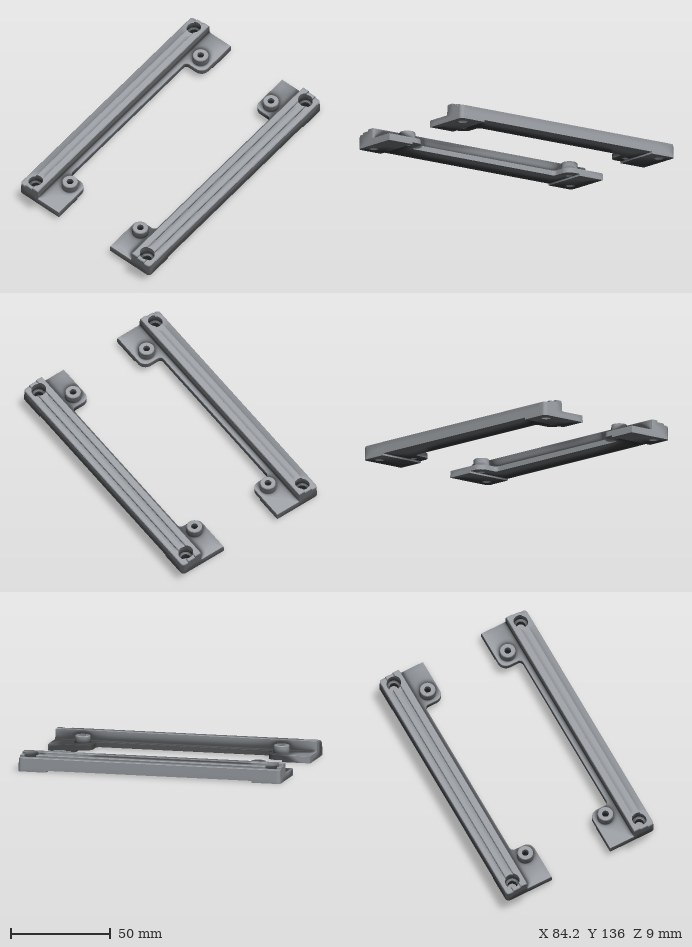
import cadquery as cq
import math

OVERALL_WIDTH = 84.2
LENGTH = 136.0
HEIGHT = 9.0
DRAFT_ANGLE = 2.5
EDGE_CHAMFER = 0.33
PLATE_CHAMFER = 0.1

FOOT_HEIGHT = 1.0
FOOT_LENGTH = 14.7
PLATE_TOP = 3.5
TAB_WIDTH = 25.5
TAB_LENGTH = 22.5
PLATE_WIDTH = 14.7
OUTER_CORNER_RADIUS = 1.9
TAB_CORNER_RADIUS = 4.4
TAB_ROOT_RADIUS = 1.9

RAIL_WIDTH = 12.0
RAIL_ROOT_RADIUS = 0.4
LOW_STEP_TOP = 7.1
MIDDLE_STEP_TOP = 8.0
MIDDLE_STEP_X = 3.8
HIGH_STEP_X = 8.0

SCREW_X = 6.0
SCREW_END_DISTANCE = 5.6
SCREW_HOLE_DIAMETER = 4.6
COUNTERBORE_DIAMETER = 7.3
COUNTERBORE_FLOOR = 3.5

BOSS_X = 19.3
BOSS_END_DISTANCE = 16.5
BOSS_TOP = 7.6
BOSS_BASE_RADIUS = 4.1
BOSS_ROOT_FILLET = 0.4
BOSS_HOLE_DIAMETER = 3.4

ENDS = (-1, 1)
HALF_LENGTH = LENGTH / 2
SCREW_Y = HALF_LENGTH - SCREW_END_DISTANCE
BOSS_Y = HALF_LENGTH - BOSS_END_DISTANCE
BOSS_HEIGHT = BOSS_TOP - PLATE_TOP
BOSS_TOP_RADIUS = BOSS_BASE_RADIUS - BOSS_HEIGHT * math.tan(math.radians(DRAFT_ANGLE))


def rounded_outline(workplane, width):
    """Rectangle inward from X = 0, with its two outer corners rounded."""
    radius = OUTER_CORNER_RADIUS
    return (
        workplane
        .moveTo(width, -HALF_LENGTH)
        .lineTo(width, HALF_LENGTH)
        .lineTo(radius, HALF_LENGTH)
        .radiusArc((0, HALF_LENGTH - radius), -radius)
        .lineTo(0, radius - HALF_LENGTH)
        .radiusArc((radius, -HALF_LENGTH), -radius)
        .close()
    )


def tabbed_outline(workplane):
    """C-shaped outline: a narrow plate with a wider tab at each end."""
    tab_edge_y = HALF_LENGTH - TAB_LENGTH
    corner_y = tab_edge_y + TAB_CORNER_RADIUS
    corner_x = TAB_WIDTH - TAB_CORNER_RADIUS
    root_y = tab_edge_y - TAB_ROOT_RADIUS
    root_x = PLATE_WIDTH + TAB_ROOT_RADIUS
    outer = OUTER_CORNER_RADIUS
    return (
        workplane
        .moveTo(outer, HALF_LENGTH)
        .lineTo(TAB_WIDTH, HALF_LENGTH)
        .lineTo(TAB_WIDTH, corner_y)
        .radiusArc((corner_x, tab_edge_y), TAB_CORNER_RADIUS)
        .lineTo(root_x, tab_edge_y)
        .radiusArc((PLATE_WIDTH, root_y), -TAB_ROOT_RADIUS)
        .lineTo(PLATE_WIDTH, -root_y)
        .radiusArc((root_x, -tab_edge_y), -TAB_ROOT_RADIUS)
        .lineTo(corner_x, -tab_edge_y)
        .radiusArc((TAB_WIDTH, -corner_y), TAB_CORNER_RADIUS)
        .lineTo(TAB_WIDTH, -HALF_LENGTH)
        .lineTo(outer, -HALF_LENGTH)
        .radiusArc((0, outer - HALF_LENGTH), outer)
        .lineTo(0, HALF_LENGTH - outer)
        .radiusArc((outer, HALF_LENGTH), outer)
        .close()
    )


def make_plate():
    """Tabbed plate with drafted sides and a broken top edge, from the foot top to the plate top."""
    base = cq.Workplane("XY", origin=(0, 0, FOOT_HEIGHT))
    plate = tabbed_outline(base).extrude(PLATE_TOP - FOOT_HEIGHT, taper=DRAFT_ANGLE)
    return plate.faces(">Z").edges().chamfer(PLATE_CHAMFER)


def make_feet():
    """Straight-sided foot under each end of the plate."""
    foot_gap = cq.Workplane("XY").box(2 * TAB_WIDTH, LENGTH - 2 * FOOT_LENGTH, 2 * FOOT_HEIGHT)
    return tabbed_outline(cq.Workplane("XY")).extrude(FOOT_HEIGHT).cut(foot_gap)


def make_rail():
    """Drafted bar whose top rises in two chamfered steps away from the outer side."""
    base = cq.Workplane("XY", origin=(0, 0, FOOT_HEIGHT))
    bar = rounded_outline(base, RAIL_WIDTH).extrude(HEIGHT - FOOT_HEIGHT, taper=DRAFT_ANGLE)
    above_steps = (
        cq.Workplane("XZ")
        .moveTo(0, LOW_STEP_TOP)
        .lineTo(MIDDLE_STEP_X, LOW_STEP_TOP)
        .lineTo(MIDDLE_STEP_X, MIDDLE_STEP_TOP)
        .lineTo(HIGH_STEP_X, MIDDLE_STEP_TOP)
        .lineTo(HIGH_STEP_X, HEIGHT)
        .lineTo(0, HEIGHT)
        .close()
        .extrude(HALF_LENGTH, both=True)
    )
    rail = bar.cut(above_steps)

    riser_feet = [
        rail.edges(cq.NearestToPointSelector((MIDDLE_STEP_X, 0, LOW_STEP_TOP))).val(),
        rail.edges(cq.NearestToPointSelector((HIGH_STEP_X, 0, MIDDLE_STEP_TOP))).val(),
    ]
    outer_edges = rail.faces("+Z").edges().filter(
        lambda edge: not any(edge.isSame(foot) for foot in riser_feet)
    )
    return outer_edges.chamfer(EDGE_CHAMFER)


def make_boss(end):
    """Tapered boss standing on the tab at one end, flared at its root and chamfered on top."""
    profile = (
        cq.Workplane("XZ")
        .moveTo(0, PLATE_TOP)
        .lineTo(BOSS_BASE_RADIUS + BOSS_ROOT_FILLET, PLATE_TOP)
        .radiusArc((BOSS_BASE_RADIUS, PLATE_TOP + BOSS_ROOT_FILLET), BOSS_ROOT_FILLET)
        .lineTo(BOSS_TOP_RADIUS, BOSS_TOP - EDGE_CHAMFER)
        .lineTo(BOSS_TOP_RADIUS - EDGE_CHAMFER, BOSS_TOP)
        .lineTo(0, BOSS_TOP)
        .close()
    )
    boss = profile.revolve(360, (0, 0, 0), (0, 1, 0))
    return boss.translate((BOSS_X, end * BOSS_Y, 0))


def hole_cutter(x, y, diameter, bottom):
    """Upright cylinder from a given height to the top of the part."""
    base = cq.Workplane("XY", origin=(x, y, bottom))
    return base.circle(diameter / 2).extrude(HEIGHT - bottom)


def make_bracket():
    """One complete bracket with its outer side at X = 0."""
    bracket = make_plate().union(make_rail()).union(make_feet())
    rail_root = cq.NearestToPointSelector((RAIL_WIDTH, 0, PLATE_TOP))
    bracket = bracket.edges(rail_root).fillet(RAIL_ROOT_RADIUS)
    for end in ENDS:
        bracket = (
            bracket.union(make_boss(end))
            .cut(hole_cutter(BOSS_X, end * BOSS_Y, BOSS_HOLE_DIAMETER, 0))
            .cut(hole_cutter(SCREW_X, end * SCREW_Y, SCREW_HOLE_DIAMETER, 0))
            .cut(hole_cutter(SCREW_X, end * SCREW_Y, COUNTERBORE_DIAMETER, COUNTERBORE_FLOOR))
        )
    return bracket


left_bracket = make_bracket().translate((-OVERALL_WIDTH / 2, 0, 0))
right_bracket = left_bracket.mirror("YZ")

result = cq.Compound.makeCompound([left_bracket.val(), right_bracket.val()])